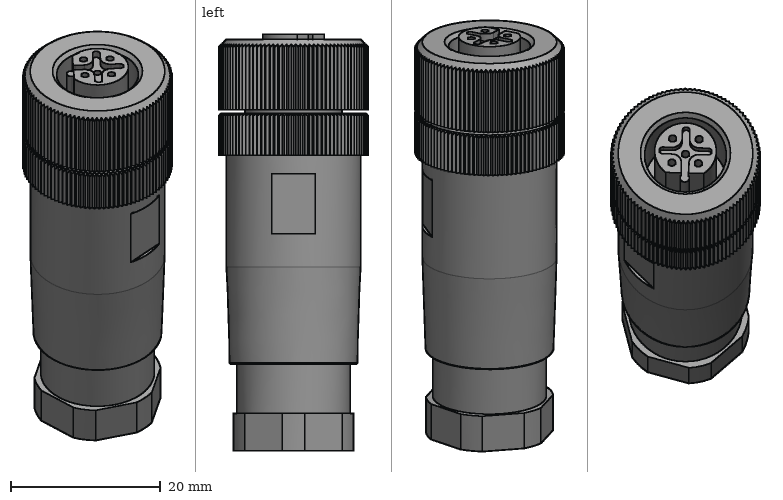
import cadquery as cq
import math

HEX_TOP = 5.0
SLEEVE_BOTTOM = 11.6
TAPER_TOP = 24.6
FLAT_BOTTOM = 29.0
FLAT_TOP = 37.05
RING_BOTTOM = 39.5
RING_TOP = 45.1
NUT_BOTTOM = 45.55
NUT_TOP = 55.0
TOTAL_HEIGHT = 55.7

HEX_APOTHEM = 8.0
HEX_CORNER_RADIUS = 8.5
NECK_RADIUS = 15.2 / 2

SLEEVE_RADIUS = 18.0 / 2
TAPER_BOTTOM_RADIUS = 8.6
SLEEVE_CHAMFER = 0.15
FLAT_DISTANCE = 8.5

KNURL_RADIUS = 20.0 / 2
KNURL_DEPTH = 0.35
KNURL_COUNT = 100
RING_CHAMFER = 0.35
NUT_CHAMFER = 1.0
COLLAR_RADIUS = 13.0 / 2
BORE_RADIUS = 10.9 / 2
BORE_CHAMFER = 0.55
BORE_DEPTH = 8.9

INSERT_RADIUS = 8.25 / 2
INSERT_FLAT_DISTANCE = 3.25
PIN_RADIUS = 1.0 / 2
PIN_OFFSET = 2.5
PIN_DEPTH = 4.45
SLOT_WIDTH = 1.0
SLOT_END = 3.0
SLOT_DEPTH = 1.0
KEY_WIDTH = 1.2
KEY_ANGLE = 225

BORE_FLOOR = NUT_TOP - BORE_DEPTH
SLOT_FLOOR = TOTAL_HEIGHT - SLOT_DEPTH


def disc(radius, bottom, top):
    return cq.Workplane("XY").workplane(offset=bottom).circle(radius).extrude(top - bottom)


def bar(start, end, width, bottom, top, angle):
    """Radial bar with a rounded outer end, turned to the given angle about Z."""
    half = width / 2
    return (
        cq.Workplane("XY")
        .workplane(offset=bottom)
        .moveTo(start, -half)
        .lineTo(end, -half)
        .threePointArc((end + half, 0), (end, half))
        .lineTo(start, half)
        .close()
        .extrude(top - bottom)
        .rotate((0, 0, 0), (0, 0, 1), angle)
    )


def cable_clamp():
    """Hexagon with rounded corners, two of them on the X axis, and the neck above it."""
    hexagon = cq.Workplane("XY").polygon(6, 2 * HEX_APOTHEM / math.cos(math.pi / 6)).extrude(HEX_TOP)
    hexagon = hexagon.intersect(disc(HEX_CORNER_RADIUS, 0, HEX_TOP))
    return hexagon.union(disc(NECK_RADIUS, HEX_TOP, SLEEVE_BOTTOM))


def grip_sleeve():
    """Sleeve tapering towards the cable, with a wrench flat on each X side."""
    sleeve = (
        cq.Workplane("XZ")
        .moveTo(0, SLEEVE_BOTTOM)
        .lineTo(TAPER_BOTTOM_RADIUS - SLEEVE_CHAMFER, SLEEVE_BOTTOM)
        .lineTo(TAPER_BOTTOM_RADIUS, SLEEVE_BOTTOM + SLEEVE_CHAMFER)
        .lineTo(SLEEVE_RADIUS, TAPER_TOP)
        .lineTo(SLEEVE_RADIUS, RING_BOTTOM)
        .lineTo(0, RING_BOTTOM)
        .close()
        .revolve(360, (0, 0), (0, 1))
    )
    cut_size = 2 * SLEEVE_RADIUS
    for side in (-1, 1):
        cutter = cq.Workplane("XY").box(cut_size, cut_size, FLAT_TOP - FLAT_BOTTOM)
        center = side * (FLAT_DISTANCE + cut_size / 2)
        sleeve = sleeve.cut(cutter.translate((center, 0, (FLAT_BOTTOM + FLAT_TOP) / 2)))
    return sleeve


def knurled_disc(bottom, top, chamfer):
    """Disc with V-shaped knurling and a chamfered top edge."""
    outline = []
    for i in range(2 * KNURL_COUNT):
        angle = math.pi * i / KNURL_COUNT
        radius = KNURL_RADIUS - KNURL_DEPTH * (i % 2)
        outline.append((radius * math.cos(angle), radius * math.sin(angle)))
    knurled = cq.Workplane("XY").workplane(offset=bottom).polyline(outline).close().extrude(top - bottom)
    return knurled.intersect(disc(KNURL_RADIUS, bottom, top).faces(">Z").chamfer(chamfer))


def coupling():
    """Knurled ring, collar and knurled nut with its socket bore."""
    ring = knurled_disc(RING_BOTTOM, RING_TOP, RING_CHAMFER)
    collar = disc(COLLAR_RADIUS, RING_TOP, NUT_BOTTOM)
    nut = knurled_disc(NUT_BOTTOM, NUT_TOP, NUT_CHAMFER)
    nut = nut.cut(disc(BORE_RADIUS, BORE_FLOOR, NUT_TOP))
    countersink = (
        cq.Workplane("XY")
        .workplane(offset=NUT_TOP - BORE_CHAMFER)
        .circle(BORE_RADIUS)
        .workplane(offset=BORE_CHAMFER)
        .circle(BORE_RADIUS + BORE_CHAMFER)
        .loft()
    )
    return ring.union(collar).union(nut.cut(countersink))


def outer_pins():
    return [(PIN_OFFSET, 0), (0, PIN_OFFSET), (-PIN_OFFSET, 0), (0, -PIN_OFFSET)]


def cross_recess():
    """Four diagonal slots whose inner corners curve around the outer pin holes."""
    half_side = PIN_OFFSET / math.sqrt(2)
    recess = (
        cq.Workplane("XY")
        .workplane(offset=SLOT_FLOOR)
        .rect(2 * half_side, 2 * half_side)
        .extrude(SLOT_DEPTH)
        .rotate((0, 0, 0), (0, 0, 1), 45)
    )
    pin_wall = disc(half_side - SLOT_WIDTH / 2, SLOT_FLOOR, TOTAL_HEIGHT)
    for x, y in outer_pins():
        recess = recess.cut(pin_wall.translate((x, y, 0)))
    for angle in range(45, 360, 90):
        recess = recess.union(bar(0, SLOT_END, SLOT_WIDTH, SLOT_FLOOR, TOTAL_HEIGHT, angle))
    return recess


def contact_insert():
    """Flatted cylinder with five pin holes, a cross recess and a coding key on the flat."""
    height = TOTAL_HEIGHT - BORE_FLOOR
    insert = disc(INSERT_RADIUS, BORE_FLOOR, TOTAL_HEIGHT)
    flat_cutter = (
        cq.Workplane("XY")
        .box(INSERT_RADIUS, 2 * INSERT_RADIUS, height)
        .translate((INSERT_FLAT_DISTANCE + INSERT_RADIUS / 2, 0, BORE_FLOOR + height / 2))
        .rotate((0, 0, 0), (0, 0, 1), KEY_ANGLE)
    )
    insert = insert.cut(flat_cutter).cut(cross_recess())
    key_end = INSERT_RADIUS - KEY_WIDTH / 2
    insert = insert.union(bar(SLOT_END, key_end, KEY_WIDTH, BORE_FLOOR, SLOT_FLOOR, KEY_ANGLE))
    pin_hole = disc(PIN_RADIUS, TOTAL_HEIGHT - PIN_DEPTH, TOTAL_HEIGHT)
    for x, y in [(0, 0)] + outer_pins():
        insert = insert.cut(pin_hole.translate((x, y, 0)))
    return insert


result = cable_clamp().union(grip_sleeve()).union(coupling()).union(contact_insert())